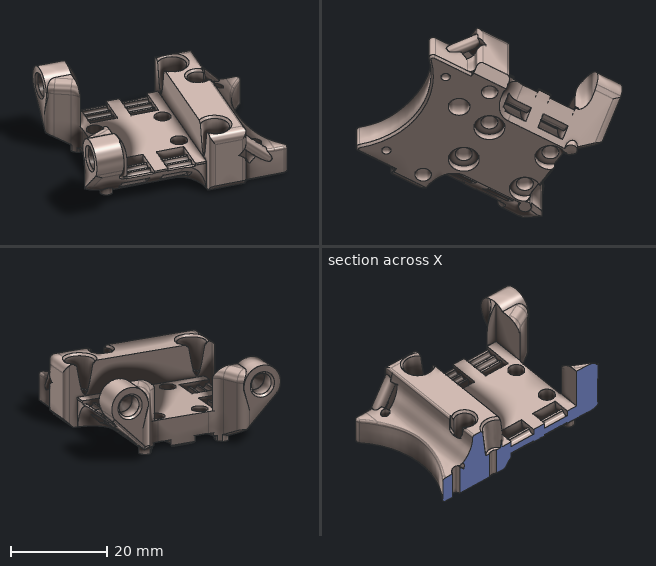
import math

import cadquery as cq

PLATE_TOP = 6.6
FLANK_OFFSET = 8.6
PLATE_HALF = 14.78
PLATE_FRONT = -9.87
BOTTOM_BREAK = 0.5

SCREW_X = 5.0
SCREW_Y = 7.5
SCREW_DIA = 3.5
SCREW_HEAD_DIA = 6.4
SCREW_HEAD_DEPTH = 1.75

WINDOW_LENGTH = 6.05
WINDOW_CENTERS = (4.55, -4.5)
WINDOW_INNER = 7.67
WINDOW_SLOT_BOTTOM = 1.1
WINDOW_SLOT_TOP = 3.28
BAR_INNER = 9.75
BAR_TOP = 5.83
BAR_BEND = 1.0
BAR_GROOVE_RADIUS = 0.77
BAR_GROOVES = (11.03, 13.05)

BLOCK_HALF = 17.6
BLOCK_FRONT = 10.03
BLOCK_REAR = 18.03
BLOCK_TOP = 14.1
BLOCK_CHAMFER = 2.0
BLOCK_TOP_ROUND = 2.0
BLOCK_CORNER_ROUND = 1.0
BLOCK_REAR_ROUND = 0.5
FLARE_HALF = 14.64
FLARE_RADIUS = 4.85

MOUNT_X = 13.0
MOUNT_Y = 12.47
MOUNT_DIA = 3.4
MOUNT_POCKET_BOTTOM = PLATE_TOP
MOUNT_POCKET_BOTTOM_RADIUS = 2.4
MOUNT_POCKET_TOP_RADIUS = 3.1
MOUNT_LIP = 0.5
CABLE_X = -6.33
CABLE_Y = 15.8
CABLE_DIA = 4.5
CABLE_LIP = 0.5
CABLE_NOTCH_LIP = 0.85
CABLE_NOTCH_BOTTOM = 10.3

SADDLE_HALF = 15.1
SADDLE_RADIUS = 19.2
SADDLE_BOTTOM_Y = 22.2
SADDLE_TIP_RADIUS = 0.925
SADDLE_RIM = 0.5
SADDLE_BLEND = 7.0
SADDLE_SIDE_BLEND = 1.25

RIDGE_RADIUS = 1.35
RIDGE_TOP = (16.0, 16.8, 11.5)
RIDGE_BOTTOM = (13.85, 24.0, 4.3)
TIE_CHANNEL_RADIUS = 3.25
TIE_CHANNEL_SPAN = (0.14, 0.67)
TIE_HOLE_X = 11.6
TIE_HOLE_Y = 22.4
TIE_HOLE_DIA = 1.9

LUG_X = 15.35
LUG_Z = 13.07
LUG_RADIUS = 4.25
LUG_FRONT = -16.0
LUG_REAR = -10.0
LUG_BORE_DIA = 4.6
LUG_BORE_DEPTH = 5.0
LUG_BORE_CONE = 1.3
LUG_BORE_LIP = 0.5
LUG_OUTER_TANGENT = 27.6
LUG_FOOT_X = 12.83
LUG_FOOT_Z = 6.2
ARM_TOP = 16.25
ARM_DOME = 2.4
ARM_WALL_ANGLE = 62.8
ARM_CORNER_ROUND = 2.5
ARM_BLEND = 3.0
ARM_BLEND_END_X = 8.53
ARM_BEVEL_HEIGHT = 1.7
ARM_BEVEL_WIDTH = 1.3
LUG_BREAK_DEPTH = 0.35
LUG_BREAK_LENGTH = 1.55
GUSSET_INNER = 14.6
GUSSET_RADIUS = 2.7
GUSSET_LENGTH = 2.5
GUSSET_SPRING_Z = 10.0
PEG_X = 8.95
PEG_Y = -10.05
PEG_RADIUS = 1.35

OVERLAP = 1.0
NUDGE = 0.1
BIG = 60.0


def both_sides(right):
    """A right-hand shape together with its mirror image."""
    return right.union(right.mirror("YZ"))


def rod(start, end, radius):
    """A round bar between two points."""
    axis = cq.Vector(*end) - cq.Vector(*start)
    return cq.Workplane(cq.Solid.makeCylinder(radius, axis.Length, cq.Vector(*start), axis))


def prism_y(profile, y_min, y_max):
    """Extrude a closed XZ profile between two Y positions."""
    return profile.extrude(y_max - y_min).translate((0, y_max, 0))


def above_flank():
    """Everything inboard of and above the right-hand 45 degree flank."""
    profile = cq.Workplane("XZ").polyline(
        [(-BIG, 0), (FLANK_OFFSET, 0), (FLANK_OFFSET + BIG, BIG), (-BIG, BIG)]
    ).close()
    return prism_y(profile, -BIG, BIG)


def plate():
    """Trapezoid plate with its front lower edge broken."""
    shoulder = PLATE_HALF - FLANK_OFFSET
    profile = cq.Workplane("XZ").polyline([
        (-FLANK_OFFSET, 0), (FLANK_OFFSET, 0), (PLATE_HALF, shoulder), (PLATE_HALF, PLATE_TOP),
        (-PLATE_HALF, PLATE_TOP), (-PLATE_HALF, shoulder),
    ]).close()
    body = prism_y(profile, PLATE_FRONT, BLOCK_FRONT)
    return body.faces("<Y").edges("<Z").chamfer(BOTTOM_BREAK)


def plate_screw_holes():
    """Four through holes with head recesses from below."""
    spots = [(x, y) for x in (-SCREW_X, SCREW_X) for y in (-SCREW_Y, SCREW_Y)]
    holes = cq.Workplane("XY").pushPoints(spots).circle(SCREW_DIA / 2).extrude(PLATE_TOP)
    heads = cq.Workplane("XY").pushPoints(spots).circle(SCREW_HEAD_DIA / 2).extrude(SCREW_HEAD_DEPTH)
    return holes.union(heads)


def strap_channel(y_center):
    """Right-hand strap channel: down through the plate, then out through the flank."""
    y_min = y_center - WINDOW_LENGTH / 2
    y_max = y_center + WINDOW_LENGTH / 2
    outside = BLOCK_HALF
    bend = math.sqrt(0.5)
    drop = PLATE_TOP - WINDOW_SLOT_BOTTOM
    floor_end = FLANK_OFFSET + WINDOW_SLOT_BOTTOM
    reach = floor_end - WINDOW_INNER
    floor_radius = (reach ** 2 + drop ** 2) / (2 * reach)
    half_turn = math.asin(drop / floor_radius) / 2
    floor_middle = (
        WINDOW_INNER + floor_radius * (1 - math.cos(half_turn)),
        PLATE_TOP - floor_radius * math.sin(half_turn),
    )
    bar_center = (BAR_INNER + BAR_BEND, WINDOW_SLOT_TOP + BAR_BEND)
    profile = (
        cq.Workplane("XZ")
        .moveTo(WINDOW_INNER, PLATE_TOP)
        .threePointArc(floor_middle, (floor_end, WINDOW_SLOT_BOTTOM))
        .lineTo(outside, WINDOW_SLOT_BOTTOM)
        .lineTo(outside, WINDOW_SLOT_TOP)
        .lineTo(bar_center[0], WINDOW_SLOT_TOP)
        .threePointArc(
            (bar_center[0] - bend * BAR_BEND, bar_center[1] - bend * BAR_BEND),
            (BAR_INNER, bar_center[1]),
        )
        .lineTo(BAR_INNER, BAR_TOP)
        .lineTo(outside, BAR_TOP)
        .lineTo(outside, PLATE_TOP)
        .close()
    )
    channel = prism_y(profile, y_min, y_max)
    for x in BAR_GROOVES:
        channel = channel.union(rod((x, y_min, BAR_TOP), (x, y_max, BAR_TOP), BAR_GROOVE_RADIUS))
    return channel


def block():
    """Rear block: rounded in plan, chamfered underneath, rounded along the top."""
    depth = BLOCK_REAR - BLOCK_FRONT
    center = (0, BLOCK_FRONT + depth / 2, BLOCK_TOP / 2)
    blank = cq.Workplane("XY").box(2 * BLOCK_HALF, depth, BLOCK_TOP).translate(center)
    from_above = blank.edges("|Z").fillet(BLOCK_CORNER_ROUND)
    from_front = blank.edges("|Y and <Z").chamfer(BLOCK_CHAMFER).edges("|Y and >Z").fillet(BLOCK_TOP_ROUND)
    from_side = blank.edges("|X and >Y and >Z").fillet(BLOCK_REAR_ROUND)
    return from_above.intersect(from_front).intersect(from_side)


def block_flare():
    """Concave blend between the right-hand flank and the front of the block."""
    start = BLOCK_FRONT - FLARE_RADIUS
    bend = FLARE_RADIUS * math.sqrt(0.5)
    across = cq.Plane(
        origin=(FLANK_OFFSET, 0, 0), xDir=(math.sqrt(0.5), 0, -math.sqrt(0.5)),
        normal=(math.sqrt(0.5), 0, math.sqrt(0.5)),
    )
    blend = (
        cq.Workplane(across)
        .moveTo(0, start)
        .threePointArc((FLARE_RADIUS - bend, start + bend), (FLARE_RADIUS, BLOCK_FRONT))
        .lineTo(FLARE_RADIUS, BLOCK_FRONT + OVERLAP)
        .lineTo(-OVERLAP, BLOCK_FRONT + OVERLAP)
        .lineTo(-OVERLAP, start)
        .close()
        .extrude(BIG / 2, both=True)
    )
    envelope = cq.Workplane("XY").box(FLARE_HALF, BIG, PLATE_TOP, centered=(False, True, False))
    return blend.intersect(envelope)


def mount_hole():
    """Right-hand screw hole with a tapered, lipped pocket that breaks out of the block front."""
    profile = cq.Workplane("XZ").polyline([
        (0, 0),
        (MOUNT_DIA / 2, 0),
        (MOUNT_DIA / 2, MOUNT_POCKET_BOTTOM),
        (MOUNT_POCKET_BOTTOM_RADIUS, MOUNT_POCKET_BOTTOM),
        (MOUNT_POCKET_TOP_RADIUS, BLOCK_TOP - MOUNT_LIP),
        (MOUNT_POCKET_TOP_RADIUS + MOUNT_LIP, BLOCK_TOP),
        (0, BLOCK_TOP),
    ]).close()
    return profile.revolve(360, (0, 0, 0), (0, 1, 0)).translate((MOUNT_X, MOUNT_Y, 0))


def cable_hole():
    """Lipped cable hole that also opens through the rear face of the block."""
    radius = CABLE_DIA / 2
    lip_radius = radius + CABLE_LIP
    notch_radius = radius + CABLE_NOTCH_LIP
    axis_start, axis_end = (0, 0, 0), (0, 1, 0)
    bore = cq.Workplane("XZ").polyline([
        (0, 0), (radius, 0), (radius, BLOCK_TOP - CABLE_LIP), (lip_radius, BLOCK_TOP), (0, BLOCK_TOP),
    ]).close().revolve(360, axis_start, axis_end)
    notch = cq.Workplane("XZ").polyline([
        (0, CABLE_NOTCH_BOTTOM), (radius, CABLE_NOTCH_BOTTOM),
        (notch_radius, CABLE_NOTCH_BOTTOM + CABLE_NOTCH_LIP), (notch_radius, BLOCK_TOP), (0, BLOCK_TOP),
    ]).close().revolve(360, axis_start, axis_end)
    rear_only = cq.Workplane("XY").box(BIG, BIG, BIG, centered=(True, False, True))
    rear_only = rear_only.translate((0, BLOCK_REAR - BLOCK_REAR_ROUND - CABLE_Y, 0))
    return bore.union(notch.intersect(rear_only)).translate((CABLE_X, CABLE_Y, 0))


def saddle():
    """Rear saddle: concave round end, blended up into the block rear, with softened rims."""
    center_y = SADDLE_BOTTOM_Y + SADDLE_RADIUS
    corner_y = center_y - math.sqrt(SADDLE_RADIUS ** 2 - SADDLE_HALF ** 2)
    inside = BLOCK_REAR - 2 * BLOCK_CORNER_ROUND
    outline = (
        cq.Workplane("XY")
        .moveTo(-SADDLE_HALF, inside)
        .lineTo(SADDLE_HALF, inside)
        .lineTo(SADDLE_HALF, corner_y)
        .threePointArc((0, SADDLE_BOTTOM_Y), (-SADDLE_HALF, corner_y))
        .close()
        .extrude(BLOCK_TOP)
    )
    outline = outline.edges("|Z and >Y").fillet(SADDLE_TIP_RADIUS)
    blend_end = BLOCK_REAR + SADDLE_BLEND
    bend = SADDLE_BLEND * math.sqrt(0.5)
    side_profile = (
        cq.Workplane("YZ")
        .moveTo(inside, 0)
        .lineTo(corner_y, 0)
        .lineTo(corner_y, PLATE_TOP)
        .lineTo(blend_end, PLATE_TOP)
        .threePointArc(
            (blend_end - bend, PLATE_TOP + SADDLE_BLEND - bend), (BLOCK_REAR, PLATE_TOP + SADDLE_BLEND)
        )
        .lineTo(inside, PLATE_TOP + SADDLE_BLEND)
        .close()
        .extrude(BIG, both=True)
    )
    body = outline.intersect(side_profile)
    rim_zone = cq.selectors.BoxSelector(
        (-BIG, BLOCK_REAR + NUDGE, PLATE_TOP - NUDGE), (BIG, BIG, BLOCK_TOP), boundingbox=False
    )
    body = body.edges(rim_zone).edges("not |X").fillet(SADDLE_RIM)
    return body.faces("<Z").edges("not <Y").chamfer(BOTTOM_BREAK)


def saddle_side_blend():
    """Upright concave blend between the right side of the saddle and the block rear."""
    size = SADDLE_SIDE_BLEND
    corner = cq.Workplane("XY").box(size, size, PLATE_TOP - BOTTOM_BREAK, centered=False)
    corner = corner.cut(cq.Workplane("XY").center(size, size).circle(size).extrude(PLATE_TOP))
    return corner.translate((SADDLE_HALF, BLOCK_REAR, BOTTOM_BREAK))


def tie_ridge():
    """Round ridge descending at the right end of the saddle."""
    return rod(RIDGE_TOP, RIDGE_BOTTOM, RIDGE_RADIUS)


def tie_cuts():
    """Right-hand channel that lets a tie loop around the ridge, and the hole beside it."""
    top = cq.Vector(*RIDGE_TOP)
    axis = cq.Vector(*RIDGE_BOTTOM) - top
    start, end = [(top + axis * fraction).toTuple() for fraction in TIE_CHANNEL_SPAN]
    channel = rod(start, end, TIE_CHANNEL_RADIUS).cut(tie_ridge())
    hole = cq.Workplane("XY").center(TIE_HOLE_X, TIE_HOLE_Y).circle(TIE_HOLE_DIA / 2).extrude(BLOCK_TOP)
    return channel.union(hole)


def arm_blend_end():
    """Plan position where the concave blend turns into the straight arm wall."""
    turn = math.radians(ARM_WALL_ANGLE)
    return ARM_BLEND_END_X, PLATE_FRONT - ARM_BLEND * (1 - math.cos(turn))


def arm_wall():
    """Right-hand arm: plate front, concave blend, slanted wall and lug front, domed on top."""
    rear = PLATE_FRONT + 2 * ARM_DOME
    turn = math.radians(ARM_WALL_ANGLE)
    start_x = ARM_BLEND_END_X - ARM_BLEND * math.sin(turn)
    end_y = arm_blend_end()[1]
    middle = (
        start_x + ARM_BLEND * math.sin(turn / 2),
        PLATE_FRONT - ARM_BLEND * (1 - math.cos(turn / 2)),
    )
    corner_x = ARM_BLEND_END_X + (end_y - LUG_FRONT) / math.tan(turn)
    body = (
        cq.Workplane("XY")
        .moveTo(0, rear)
        .lineTo(0, PLATE_FRONT)
        .lineTo(start_x, PLATE_FRONT)
        .threePointArc(middle, (ARM_BLEND_END_X, end_y))
        .lineTo(corner_x, LUG_FRONT)
        .lineTo(LUG_X, LUG_FRONT)
        .lineTo(LUG_X, rear)
        .close()
        .extrude(ARM_TOP)
    )
    front_corner = cq.selectors.NearestToPointSelector((corner_x, LUG_FRONT, ARM_TOP / 2))
    body = body.edges(front_corner).fillet(ARM_CORNER_ROUND)
    wall_top = cq.selectors.NearestToPointSelector((ARM_BLEND_END_X, end_y, ARM_TOP))
    return body.edges(wall_top).fillet(ARM_DOME)


def lug_body():
    """Right-hand lug with its tapered foot, between the lug faces."""
    drop = math.radians(LUG_OUTER_TANGENT)
    outer_x = LUG_X + LUG_RADIUS * math.cos(drop)
    outer_z = LUG_Z - LUG_RADIUS * math.sin(drop)
    run = (outer_x - outer_z - FLANK_OFFSET) / (math.sin(drop) - math.cos(drop))
    flank_x = outer_x - run * math.sin(drop)
    reach = math.hypot(LUG_X - LUG_FOOT_X, LUG_Z - LUG_FOOT_Z)
    toward_foot = math.atan2(LUG_FOOT_Z - LUG_Z, LUG_FOOT_X - LUG_X)
    inner = toward_foot - math.acos(LUG_RADIUS / reach)
    profile = (
        cq.Workplane("XZ")
        .moveTo(outer_x, outer_z)
        .threePointArc(
            (LUG_X, LUG_Z + LUG_RADIUS),
            (LUG_X + LUG_RADIUS * math.cos(inner), LUG_Z + LUG_RADIUS * math.sin(inner)),
        )
        .lineTo(LUG_FOOT_X, LUG_FOOT_Z)
        .lineTo(LUG_FOOT_X, LUG_FOOT_X - FLANK_OFFSET)
        .lineTo(flank_x, flank_x - FLANK_OFFSET)
        .close()
    )
    return prism_y(profile, LUG_FRONT, LUG_REAR)


def lug_bore():
    """Blind bore with a conical end and a lipped mouth."""
    radius = LUG_BORE_DIA / 2
    profile = cq.Workplane("XY").polyline([
        (0, LUG_FRONT),
        (radius + LUG_BORE_LIP, LUG_FRONT),
        (radius, LUG_FRONT + LUG_BORE_LIP),
        (radius, LUG_FRONT + LUG_BORE_DEPTH - LUG_BORE_CONE),
        (0, LUG_FRONT + LUG_BORE_DEPTH),
    ]).close()
    return profile.revolve(360, (0, 0, 0), (0, 1, 0)).translate((LUG_X, 0, LUG_Z))


def gusset():
    """Concave web behind the lug, arched from the lug top down to the plate edge."""
    far_x = GUSSET_INNER + GUSSET_RADIUS
    rear = LUG_REAR + GUSSET_LENGTH
    web = cq.Workplane("XY").box(far_x - GUSSET_INNER, GUSSET_LENGTH, BIG, centered=(False, False, True))
    web = web.translate((GUSSET_INNER, LUG_REAR, 0))
    web = web.cut(
        cq.Workplane("XY").center(far_x, LUG_REAR + GUSSET_RADIUS).circle(GUSSET_RADIUS).extrude(BIG)
    )
    rise = LUG_Z + LUG_RADIUS - GUSSET_SPRING_Z
    arch_radius = (GUSSET_LENGTH ** 2 + rise ** 2) / (2 * GUSSET_LENGTH)
    half_turn = math.asin(rise / arch_radius) / 2
    arch_middle = (
        rear - arch_radius * (1 - math.cos(half_turn)),
        GUSSET_SPRING_Z + arch_radius * math.sin(half_turn),
    )
    arch = (
        cq.Workplane("YZ")
        .moveTo(LUG_REAR, 0)
        .lineTo(rear, 0)
        .lineTo(rear, GUSSET_SPRING_Z)
        .threePointArc(arch_middle, (LUG_REAR, LUG_Z + LUG_RADIUS))
        .close()
        .extrude(BIG)
    )
    lug_shadow = lug_body().translate((0, GUSSET_LENGTH, 0))
    return web.intersect(arch).intersect(lug_shadow)


def flank_front_break():
    """Shallow wedge along the front edge of the right-hand flank."""
    corner = (FLANK_OFFSET, LUG_FRONT)
    wedge = cq.Workplane("XY").polyline([
        corner,
        (corner[0] - LUG_BREAK_DEPTH * math.sqrt(2), LUG_FRONT),
        (corner[0], LUG_FRONT + LUG_BREAK_LENGTH),
    ]).close()
    return wedge.sweep(cq.Workplane("XZ").moveTo(FLANK_OFFSET, 0).lineTo(FLANK_OFFSET + BIG, BIG))


def arm_foot_bevel():
    """Wedge along the edge where the slanted arm wall meets the flank."""
    turn = math.radians(ARM_WALL_ANGLE)
    foot = cq.Vector(*arm_blend_end(), ARM_BLEND_END_X - FLANK_OFFSET)
    along = cq.Vector(math.cos(turn), -math.sin(turn), math.cos(turn))
    up_wall = cq.Vector(0, 0, ARM_BEVEL_HEIGHT)
    across_flank = cq.Vector(ARM_BEVEL_WIDTH, 0, ARM_BEVEL_WIDTH)
    length = (foot.y - LUG_FRONT) / math.sin(turn) + 2 * ARM_CORNER_ROUND
    start = foot - along * ARM_CORNER_ROUND
    outside = start - up_wall - across_flank
    triangle = cq.Wire.makePolygon(
        [outside, start + up_wall * 2 - across_flank, start - up_wall + across_flank * 2], close=True
    )
    return cq.Workplane(cq.Solid.extrudeLinear(triangle, [], along * length))


def arm():
    """Right-hand arm wall, lug, gusset and the small peg under the wall."""
    full_wall = arm_wall()
    behind = cq.Workplane("XY").box(BIG, BIG, BIG, centered=(True, False, False))
    wall = full_wall.cut(behind.translate((0, LUG_REAR, PLATE_TOP)))
    wall = wall.cut(behind.translate((0, PLATE_FRONT, 0))).intersect(above_flank())
    wall = wall.cut(arm_foot_bevel())
    peg_height = PEG_X + PEG_RADIUS - FLANK_OFFSET
    peg = cq.Workplane("XY").center(PEG_X, PEG_Y).circle(PEG_RADIUS).extrude(peg_height)
    body = wall.union(lug_body()).union(gusset()).clean().cut(flank_front_break())
    return body.union(peg.intersect(full_wall))


def side_blends():
    """Right-hand blends around the block, with the tie ridge."""
    return block_flare().union(saddle_side_blend()).union(tie_ridge())


body = plate().union(block()).union(saddle())
body = body.union(both_sides(side_blends())).union(both_sides(arm()))
right_cuts = mount_hole().union(tie_cuts()).union(lug_bore())
for window in WINDOW_CENTERS:
    right_cuts = right_cuts.union(strap_channel(window))
result = body.cut(both_sides(right_cuts)).cut(plate_screw_holes()).cut(cable_hole())